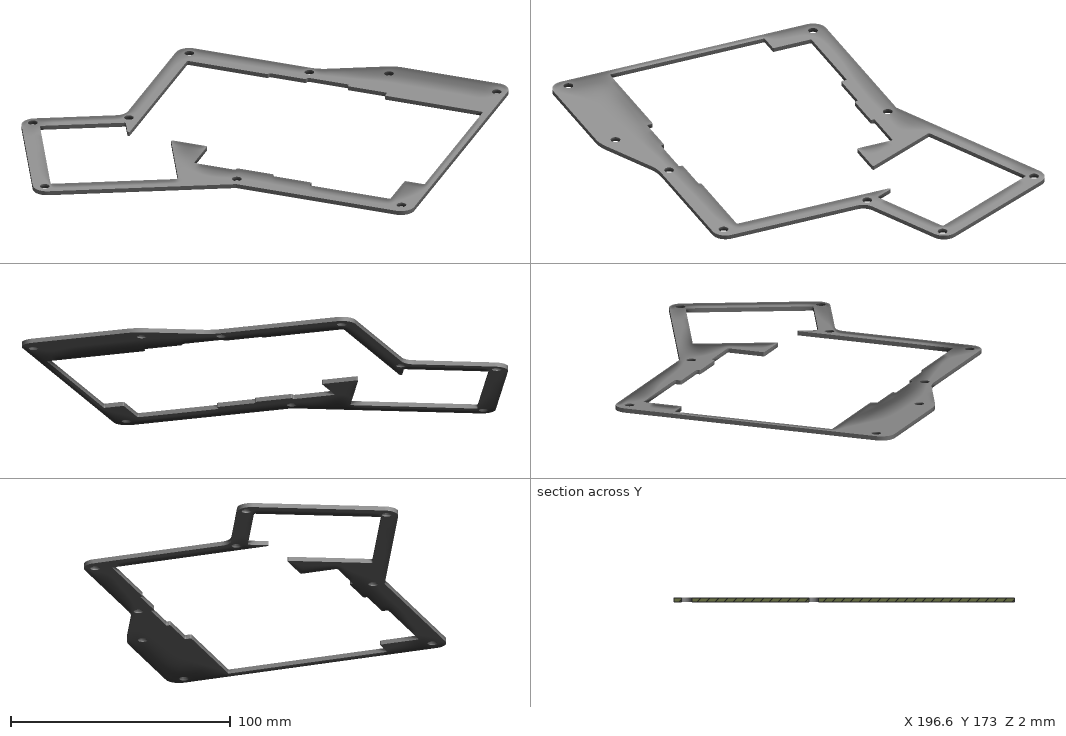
import math

import cadquery as cq

THICKNESS = 2.0
OUTER_RADIUS = 6.5
RAMP_RADIUS = 17.0
OPENING_RADIUS = 0.58
HOLE_DIAMETER = 4.4

PITCH = 19.05
CLEARANCE = 0.55

LEFT = 41.2
RIGHT = 196.57
BOTTOM = 36.9
SHOULDER = 158.2
TOP = 173.04
RAMP_START_X = 108.0

GRID_X = 49.65
GRID_Y = 49.6
STAGGER_SECOND = 1.2
STAGGER_THIRD = 2.95
STAGGER_LAST = -1.8
ROWS = 5
FIRST_COLUMNS = 2
LAST_COLUMNS = 7
WIDE_COLUMNS = 7.5

TILT = math.radians(25)
CLUSTER_X = 33.55
CLUSTER_Y = 8.8
CLUSTER_KEYS = 3
BARB_KEYS = 2
CLUSTER_LEFT_MARGIN = 8.27
CLUSTER_BOTTOM_MARGIN = 7.41
CLUSTER_TOP_MARGIN = 7.82

HOLE_CENTRES = [
    (139.6, 165.0),
    (191.9, 164.8),
    (105.1, 153.9),
    (47.3, 152.9),
    (43.75, 82.75),
    (4.5, 62.9),
    (190.4, 43.3),
    (111.1, 41.9),
    (31.6, 4.9),
]


def cluster_point(u, v):
    """Place a point given along (u) and across (v) the tilted thumb cluster."""
    x = CLUSTER_X + u * math.cos(TILT) - v * math.sin(TILT)
    y = CLUSTER_Y + u * math.sin(TILT) + v * math.cos(TILT)
    return (x, y)


def along_row_at_x(v, x):
    """Point with the given x on the cluster line of constant v."""
    start_x, start_y = cluster_point(0, v)
    return (x, start_y + (x - start_x) * math.tan(TILT))


def along_row_at_y(v, y):
    """Point with the given y on the cluster line of constant v."""
    start_x, start_y = cluster_point(0, v)
    return (start_x + (y - start_y) / math.tan(TILT), y)


def along_column_at_x(u, x):
    """Point with the given x on the cluster line of constant u."""
    start_x, start_y = cluster_point(u, 0)
    return (x, start_y - (x - start_x) / math.tan(TILT))


def along_column_at_y(u, y):
    """Point with the given y on the cluster line of constant u."""
    start_x, start_y = cluster_point(u, 0)
    return (start_x - (y - start_y) * math.tan(TILT), y)


def round_corner(body, point, radius):
    """Fillet the upright edge that stands at the given corner of the outline."""
    corner = cq.selectors.NearestToPointSelector((*point, THICKNESS / 2))
    return body.edges("|Z").edges(corner).fillet(radius)


def make_plate():
    """Solid plate: the main field with a raised top right, joined to the tilted cluster."""
    near = -CLEARANCE
    far = CLUSTER_KEYS * PITCH + CLEARANCE
    left_u = near - CLUSTER_LEFT_MARGIN
    low_v = near - CLUSTER_BOTTOM_MARGIN
    high_v = far + CLUSTER_TOP_MARGIN

    cluster_low = cluster_point(left_u, low_v)
    cluster_left = cluster_point(left_u, high_v)
    neck = along_row_at_x(high_v, LEFT)
    waist = along_row_at_y(low_v, BOTTOM)
    top_left = (LEFT, SHOULDER)
    ramp_low = (RAMP_START_X, SHOULDER)
    ramp_high = (RAMP_START_X + (TOP - SHOULDER) / math.tan(TILT), TOP)
    top_right = (RIGHT, TOP)
    low_right = (RIGHT, BOTTOM)

    outline = [
        cluster_low, cluster_left, neck, top_left, ramp_low,
        ramp_high, top_right, low_right, waist,
    ]
    plate = cq.Workplane("XY").polyline(outline).close().extrude(THICKNESS)
    for corner in (cluster_low, cluster_left, neck, top_left, top_right, low_right):
        plate = round_corner(plate, corner, OUTER_RADIUS)
    for corner in (ramp_low, ramp_high):
        plate = round_corner(plate, corner, RAMP_RADIUS)
    return plate


def make_opening():
    """Key opening: staggered columns above and below, running into the tilted cluster."""

    def left_side(column):
        return GRID_X + column * PITCH - CLEARANCE

    def right_side(column):
        return GRID_X + column * PITCH + CLEARANCE

    def floor(stagger, row=0):
        return GRID_Y + stagger + row * PITCH - CLEARANCE

    def ceiling(stagger):
        return GRID_Y + stagger + ROWS * PITCH + CLEARANCE

    second = FIRST_COLUMNS
    third = FIRST_COLUMNS + 1
    fourth = FIRST_COLUMNS + 2
    last = FIRST_COLUMNS + 3

    upper_edge = [
        (left_side(0), ceiling(0)),
        (right_side(second), ceiling(0)),
        (right_side(second), ceiling(STAGGER_SECOND)),
        (left_side(third), ceiling(STAGGER_SECOND)),
        (left_side(third), ceiling(STAGGER_THIRD)),
        (right_side(fourth), ceiling(STAGGER_THIRD)),
        (right_side(fourth), ceiling(STAGGER_SECOND)),
        (right_side(last), ceiling(STAGGER_SECOND)),
        (right_side(last), ceiling(STAGGER_LAST)),
        (right_side(WIDE_COLUMNS), ceiling(STAGGER_LAST)),
    ]
    lower_edge = [
        (right_side(WIDE_COLUMNS), floor(STAGGER_LAST, 1)),
        (right_side(LAST_COLUMNS), floor(STAGGER_LAST, 1)),
        (right_side(LAST_COLUMNS), floor(STAGGER_LAST)),
        (left_side(last), floor(STAGGER_LAST)),
        (left_side(last), floor(STAGGER_SECOND)),
        (left_side(fourth), floor(STAGGER_SECOND)),
        (left_side(fourth), floor(STAGGER_THIRD)),
        (right_side(third), floor(STAGGER_THIRD)),
        (right_side(third), floor(STAGGER_SECOND)),
        (left_side(second), floor(STAGGER_SECOND)),
        (left_side(second), floor(0, 1)),
    ]

    near = -CLEARANCE
    far = CLUSTER_KEYS * PITCH + CLEARANCE
    barb_u = BARB_KEYS * PITCH + CLEARANCE
    cluster_edge = [
        along_column_at_y(far, floor(0, 1)),
        cluster_point(far, near),
        cluster_point(near, near),
        cluster_point(near, far),
        cluster_point(barb_u, far),
        along_column_at_x(barb_u, left_side(0)),
    ]

    outline = upper_edge + lower_edge + cluster_edge
    opening = cq.Workplane("XY").polyline(outline).close().extrude(THICKNESS)
    return opening.edges("|Z").fillet(OPENING_RADIUS)


def make_holes():
    """Round mounting holes through the frame."""
    return (
        cq.Workplane("XY")
        .pushPoints(HOLE_CENTRES)
        .circle(HOLE_DIAMETER / 2)
        .extrude(THICKNESS)
    )


result = make_plate().cut(make_opening()).cut(make_holes())